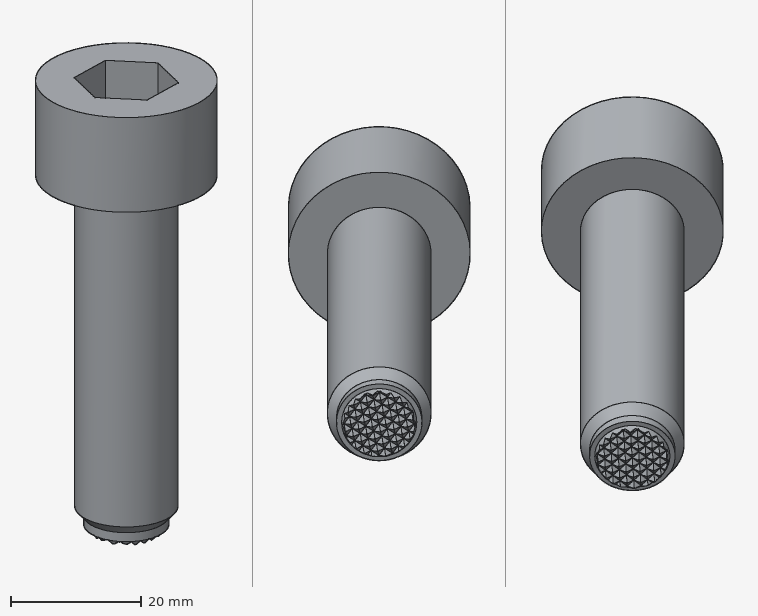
import cadquery as cq
import math

total_length = 76.0
tooth_pitch = 1.5
groove_count = 7
tooth_tip_width = 0.19
groove_width = tooth_pitch - tooth_tip_width
groove_depth = groove_width / 2

pad_top_diameter = 11.55
pad_tip_diameter = 10.7
pad_height = 1.15

head_diameter = 28.0
head_height = 15.95
shank_diameter = 15.95
collar_diameter = 13.15
collar_height = 1.5
taper_height = 1.6

hex_across_flats = 14.0
hex_depth = 8.0
floor_cone_angle = 120.0
hex_corner_radius = hex_across_flats / math.sqrt(3)
floor_cone_depth = hex_corner_radius / math.tan(math.radians(floor_cone_angle / 2))

head_base_level = total_length - head_height
taper_level = pad_height + collar_height
shank_level = taper_level + taper_height


def turned_blank():
    """Head, shank, tapered end and collar revolved about Z."""
    profile = (
        cq.Workplane("XZ")
        .moveTo(0, pad_height)
        .lineTo(collar_diameter / 2, pad_height)
        .lineTo(collar_diameter / 2, taper_level)
        .lineTo(shank_diameter / 2, shank_level)
        .lineTo(shank_diameter / 2, head_base_level)
        .lineTo(head_diameter / 2, head_base_level)
        .lineTo(head_diameter / 2, total_length)
        .lineTo(0, total_length)
        .close()
    )
    return profile.revolve(360, (0, 0), (0, 1))


def hex_socket():
    """Pointed cylinder trimmed to a hexagon, with two corners on the X axis."""
    corner_level = total_length - hex_depth
    hexagon = (
        cq.Workplane("XY")
        .workplane(offset=corner_level - floor_cone_depth)
        .polygon(6, 2 * hex_corner_radius)
        .extrude(hex_depth + floor_cone_depth)
    )
    pointed_cylinder = (
        cq.Workplane("XZ")
        .moveTo(0, corner_level - floor_cone_depth)
        .lineTo(hex_corner_radius, corner_level)
        .lineTo(hex_corner_radius, total_length)
        .lineTo(0, total_length)
        .close()
        .revolve(360, (0, 0), (0, 1))
    )
    return hexagon.intersect(pointed_cylinder)


def tooth_groove(offset):
    """V-groove running along Y, open at the tooth tips and centred at X = offset."""
    return (
        cq.Workplane("XZ")
        .moveTo(offset - groove_width / 2, 0)
        .lineTo(offset, groove_depth)
        .lineTo(offset + groove_width / 2, 0)
        .close()
        .extrude(pad_top_diameter, both=True)
    )


def gripping_pad():
    """Slightly tapered round pad with crossed V-grooves that leave rows of pyramid teeth."""
    pad = (
        cq.Workplane("XZ")
        .lineTo(pad_tip_diameter / 2, 0)
        .lineTo(pad_top_diameter / 2, pad_height)
        .lineTo(0, pad_height)
        .close()
        .revolve(360, (0, 0), (0, 1))
    )
    for index in range(groove_count):
        offset = (index - (groove_count - 1) / 2) * tooth_pitch
        groove = tooth_groove(offset)
        crossing_groove = groove.rotate((0, 0, 0), (0, 0, 1), 90)
        pad = pad.cut(groove).cut(crossing_groove)
    return pad


screw = turned_blank().cut(hex_socket())
pad = gripping_pad()

result = cq.Compound.makeCompound([screw.val(), pad.val()])